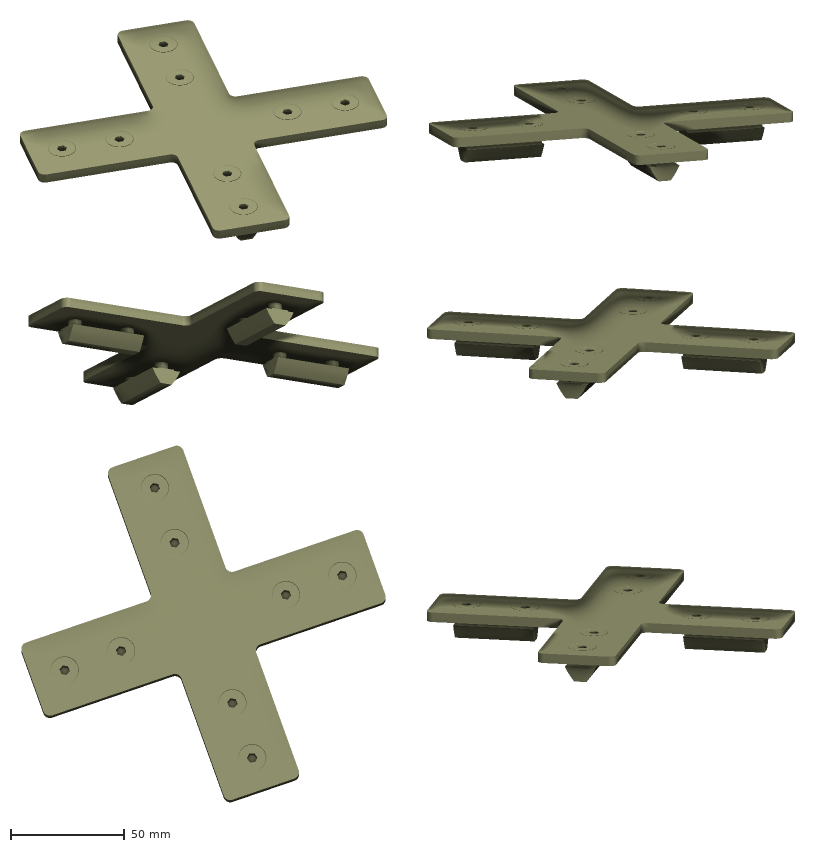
import cadquery as cq
import math

arm_span = 160.0
arm_width = 35.0
plate_thickness = 4.3
corner_radius = 3.0

inner_screw_reach = 38.5
outer_screw_reach = 65.0
head_diameter = 12.0
shank_diameter = 6.0
countersink_diameter = 12.5
clearance_diameter = 6.5
socket_across_flats = 4.0
socket_depth = 3.2
socket_turn = 30
odd_socket_turn = 45

total_height = 14.7
nut_gap = 3.4
nut_length = 35.8
nut_shoulder_width = 14.0
nut_base_width = 5.6
nut_rib_width = 8.0
nut_rib_height = 0.5
nut_flank_bulge = 0.24

plate_bottom = -plate_thickness
nut_top = plate_bottom - nut_gap
nut_shoulder = nut_top - nut_rib_height
nut_bottom = -total_height

screw_reaches = (inner_screw_reach, outer_screw_reach)
nut_reach = sum(screw_reaches) / 2
arm_angles = (0, 90, 180, 270)


def make_plate():
    along_x = cq.Workplane("XY").box(arm_span, arm_width, plate_thickness)
    along_y = cq.Workplane("XY").box(arm_width, arm_span, plate_thickness)
    cross = along_x.union(along_y).edges("|Z").fillet(corner_radius)
    return cross.translate((0, 0, -plate_thickness / 2))


def make_cone(top_diameter, bottom_diameter):
    """Ninety-degree cone hanging from the top of the plate."""
    top_radius = top_diameter / 2
    bottom_radius = bottom_diameter / 2
    depth = top_radius - bottom_radius
    profile = [(0, 0), (top_radius, 0), (bottom_radius, -depth), (0, -depth)]
    return cq.Workplane("XZ").polyline(profile).close().revolve(360, (0, 0), (0, 1))


def make_screw():
    """Flat head and shank; the shank ends inside the nut and fills the clearance hole."""
    head = make_cone(head_diameter, shank_diameter)
    shank = cq.Workplane("XY").circle(shank_diameter / 2).extrude(nut_shoulder)
    collar_top = -(countersink_diameter - clearance_diameter) / 2
    collar = (
        cq.Workplane("XY", origin=(0, 0, collar_top))
        .circle(clearance_diameter / 2)
        .extrude(plate_bottom - collar_top)
    )
    return head.union(shank).union(collar)


def make_socket(turn):
    """Hexagonal key recess, turned about the screw axis."""
    socket_diameter = socket_across_flats / math.cos(math.pi / 6)
    socket = cq.Workplane("XY").polygon(6, socket_diameter).extrude(-socket_depth)
    return socket.rotate((0, 0, 0), (0, 0, 1), turn)


def make_nut():
    """Bar along X with a raised top rib and gently bulging flanks."""
    base = nut_base_width / 2
    shoulder = nut_shoulder_width / 2
    rib = nut_rib_width / 2
    return (
        cq.Workplane("YZ", origin=(nut_reach - nut_length / 2, 0, 0))
        .moveTo(-base, nut_bottom)
        .lineTo(base, nut_bottom)
        .sagittaArc((shoulder, nut_shoulder), -nut_flank_bulge)
        .lineTo(rib, nut_shoulder)
        .lineTo(rib, nut_top)
        .lineTo(-rib, nut_top)
        .lineTo(-rib, nut_shoulder)
        .lineTo(-shoulder, nut_shoulder)
        .sagittaArc((-base, nut_bottom), -nut_flank_bulge)
        .close()
        .extrude(nut_length)
    )


def turn_to_arm(shape, angle):
    return shape.rotate((0, 0, 0), (0, 0, 1), angle)


countersink = make_cone(countersink_diameter, clearance_diameter)
screw = make_screw()
nut = make_nut()

result = make_plate()
for angle in arm_angles:
    result = result.union(turn_to_arm(nut, angle))
    for reach in screw_reaches:
        place = (reach, 0, 0)
        is_odd = angle == 90 and reach == outer_screw_reach
        heading = odd_socket_turn if is_odd else socket_turn
        socket = make_socket(heading - angle)
        result = result.cut(turn_to_arm(countersink.translate(place), angle))
        result = result.union(turn_to_arm(screw.translate(place), angle))
        result = result.cut(turn_to_arm(socket.translate(place), angle))